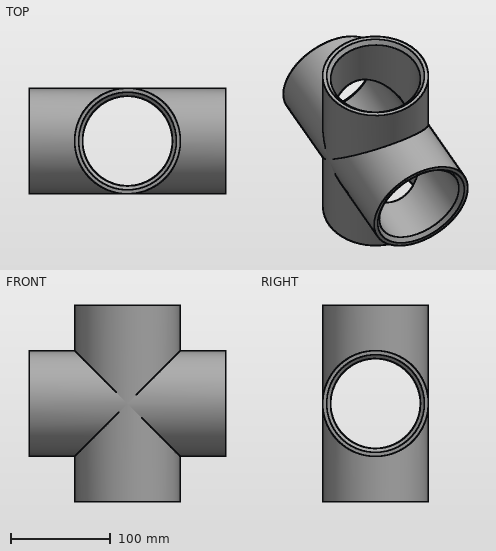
import cadquery as cq

span = 197.0
outer_diameter = 106.0
bore_diameter = 89.8
wall = (outer_diameter - bore_diameter) / 2
chamfer_width = wall / 2
chamfer_depth = chamfer_width

branch_planes = ("YZ", "XY")


def run_cylinder(plane, diameter):
    """Straight cylinder through the centre, spanning two opposite mouths."""
    return cq.Workplane(plane).circle(diameter / 2).extrude(span / 2, both=True)


def run_bore(plane):
    """Through bore with a conical bevel at both mouths."""
    bore = run_cylinder(plane, bore_diameter)
    bore_radius = bore_diameter / 2
    mouth_radius = bore_radius + chamfer_width
    for side in (-1, 1):
        bevel = (
            cq.Workplane(plane)
            .workplane(offset=side * (span / 2 - chamfer_depth))
            .circle(bore_radius)
            .workplane(offset=side * chamfer_depth)
            .circle(mouth_radius)
            .loft(ruled=True)
        )
        bore = bore.union(bevel)
    return bore


first_plane, second_plane = branch_planes
result = run_cylinder(first_plane, outer_diameter).union(run_cylinder(second_plane, outer_diameter))

for branch_plane in branch_planes:
    result = result.cut(run_bore(branch_plane))